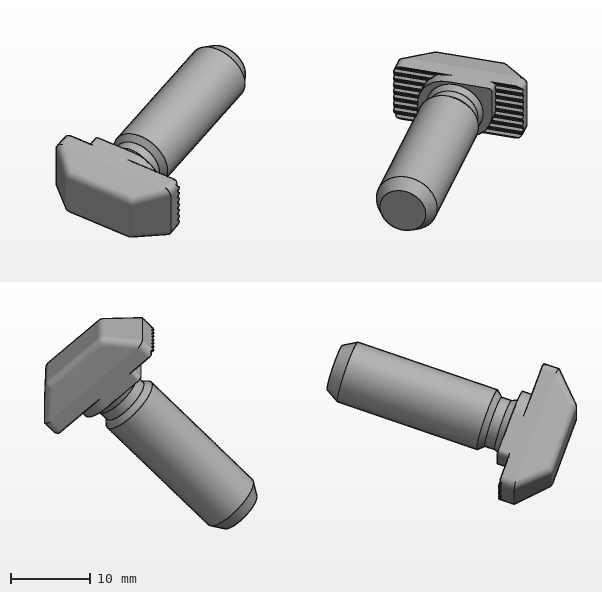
import cadquery as cq
import math

total_length = 30.8
thread_diameter = 8.0

head_length = 17.0
head_width = thread_diameter
head_fillet = 1.0
end_taper_height = 3.75
end_taper_angle = 45.0
side_taper_height = 3.82
side_taper_angle = 10.0

tooth_tip_height = 5.82
tooth_depth = 0.3
tooth_root_flat = 0.2
tooth_flank_angle = 45.0
tooth_pitch = 1.0

collar_length = 9.8
collar_top = 7.3
collar_small_radius = 0.55

neck_radius = 3.3
neck_root_radius = 3.73
neck_start = 8.22
neck_end = 9.55
thread_start = 10.35
tip_chamfer_length = 1.72
tip_chamfer_angle = 30.0


def tapered_wedge(plane, shoulder_width, shoulder_height, taper_angle, depth):
    """Wedge that widens from the head face up to the tooth tips, centred on the bolt axis."""
    slope = math.tan(math.radians(taper_angle))
    half_face = shoulder_width / 2 - shoulder_height * slope
    half_top = half_face + tooth_tip_height * slope
    return (
        cq.Workplane(plane)
        .polyline([
            (-half_face, 0),
            (half_face, 0),
            (half_top, tooth_tip_height),
            (-half_top, tooth_tip_height),
        ])
        .close()
        .extrude(depth, both=True)
    )


def make_head():
    """Straight block with rounded corners, narrowed below the shoulder by a rounded pyramid."""
    block = (
        cq.Workplane("XY")
        .box(head_length, tooth_tip_height, head_width, centered=(True, False, True))
        .edges("|Y")
        .fillet(head_fillet)
    )
    side_plane = cq.Plane(origin=(0, 0, 0), xDir=(0, 0, -1), normal=(1, 0, 0))
    end_wedge = tapered_wedge("XY", head_length, end_taper_height, end_taper_angle, head_width)
    side_wedge = tapered_wedge(side_plane, head_width, side_taper_height, side_taper_angle, head_length)
    pyramid = end_wedge.intersect(side_wedge)
    top_rim = cq.selectors.StringSyntaxSelector(">Y")
    rounded_pyramid = pyramid.edges(cq.selectors.InverseSelector(top_rim)).fillet(head_fillet)
    return block.intersect(rounded_pyramid)


def cut_serrations(head):
    """Cut flat-bottomed V grooves along X, leaving flat-topped teeth with one on the centre plane."""
    root_height = tooth_tip_height - tooth_depth
    groove_count = round(head_width / tooth_pitch)
    half_root = tooth_root_flat / 2
    half_mouth = half_root + tooth_depth * math.tan(math.radians(tooth_flank_angle))
    for index in range(groove_count):
        groove_z = (index - groove_count / 2 + 0.5) * tooth_pitch
        groove = (
            cq.Workplane("YZ")
            .polyline([
                (root_height, groove_z - half_root),
                (root_height, groove_z + half_root),
                (tooth_tip_height, groove_z + half_mouth),
                (tooth_tip_height, groove_z - half_mouth),
            ])
            .close()
            .extrude(head_length / 2, both=True)
        )
        head = head.cut(groove)
    return head


def make_collar():
    """Block with two opposite corners rounded to the thread radius and two slightly rounded."""
    base = side_taper_height
    large_radius = thread_diameter / 2
    block = (
        cq.Workplane("XY")
        .box(collar_length, collar_top - base, head_width, centered=(True, False, True))
        .translate((0, base, 0))
    )

    def diagonal_edges(sign):
        """Edges along Y on one diagonal: +1 where X and Z share a sign, -1 where they differ."""
        edges = block.edges("|Y").vals()
        return [edge for edge in edges if sign * edge.Center().x * edge.Center().z > 0]

    large_corners = block.newObject(diagonal_edges(1)).fillet(large_radius)
    small_corners = block.newObject(diagonal_edges(-1)).fillet(collar_small_radius)
    return large_corners.intersect(small_corners)


def make_shank():
    """Waisted neck, plain thread cylinder and chamfered tip, turned about Y."""
    thread_radius = thread_diameter / 2
    tip_radius = thread_radius - tip_chamfer_length * math.tan(math.radians(tip_chamfer_angle))
    return cq.Workplane("XY").polyline([
        (0, collar_top),
        (neck_root_radius, collar_top),
        (neck_radius, neck_start),
        (neck_radius, neck_end),
        (thread_radius, thread_start),
        (thread_radius, total_length - tip_chamfer_length),
        (tip_radius, total_length),
        (0, total_length),
    ]).close().revolve(360, (0, 0, 0), (0, 1, 0))


result = cut_serrations(make_head()).union(make_collar()).union(make_shank())